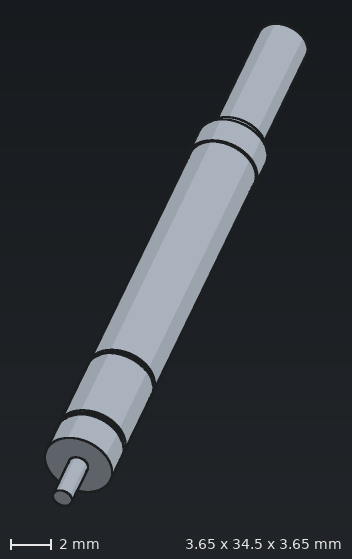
import cadquery as cq

total_length = 34.5
pin_length = 2.52
pin_radius = 1.0 / 2
body_length = 22.5
body_radius = 3.5 / 2
collar_length = 1.6
collar_radius = 3.65 / 2
taper_length = 0.4
taper_end_radius = 3.25 / 2
tail_radius = 2.6 / 2

groove_depth = 0.15
groove_floor_width = 0.15
grooves = [(1.8, 0.3), (6.45, 0.25)]

body_start = pin_length
collar_start = body_start + body_length
taper_start = collar_start + collar_length
tail_start = taper_start + taper_length


def revolve_about_y(points):
    """Solid of revolution about Y from a closed (radius, y) outline."""
    outline = cq.Workplane("XY").polyline(points).close()
    return outline.revolve(360, (0, 0, 0), (0, 1, 0))


def stepped_rod():
    """Pin, body, collar, tapered shoulder and tail in one profile."""
    return revolve_about_y([
        (0, 0),
        (pin_radius, 0),
        (pin_radius, body_start),
        (body_radius, body_start),
        (body_radius, collar_start),
        (collar_radius, collar_start),
        (collar_radius, taper_start),
        (taper_end_radius, tail_start),
        (tail_radius, tail_start),
        (tail_radius, total_length),
        (0, total_length),
    ])


def ring_groove(start, width):
    """Ring of material to remove from the body surface."""
    end = start + width
    floor_radius = body_radius - groove_depth
    return revolve_about_y([
        (body_radius, start),
        (floor_radius, end - groove_floor_width),
        (floor_radius, end),
        (body_radius, end),
    ])


result = stepped_rod()
for offset, width in grooves:
    result = result.cut(ring_groove(body_start + offset, width))